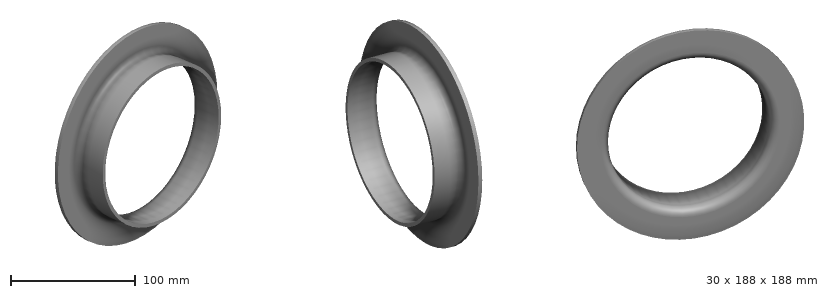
import cadquery as cq
import math

flange_diameter = 188.0
collar_outer_diameter = 139.7
collar_inner_diameter = 133.7
total_length = 30.0
flange_thickness = 3.5
bore_lip_radius = 7.0
collar_root_radius = 5.0

flange_radius = flange_diameter / 2
collar_radius = collar_outer_diameter / 2
bore_radius = collar_inner_diameter / 2


def quarter_arc_midpoint(center_x, center_radius, arc_radius):
    """Middle of a quarter arc on the side facing the flange face and the axis."""
    offset = arc_radius * math.cos(math.radians(45))
    return center_x - offset, center_radius - offset


def lip_arc_midpoint():
    """Convex arc that rolls the flange face into the bore."""
    center_radius = bore_radius + bore_lip_radius
    return quarter_arc_midpoint(bore_lip_radius, center_radius, bore_lip_radius)


def root_arc_midpoint():
    """Concave arc that blends the flange back into the collar."""
    center_x = flange_thickness + collar_root_radius
    center_radius = collar_radius + collar_root_radius
    return quarter_arc_midpoint(center_x, center_radius, collar_root_radius)


def make_wall_section():
    """Half section of the ring: X along the axis, Y as the distance from it."""
    return (
        cq.Workplane("XY")
        .moveTo(0, flange_radius)
        .lineTo(flange_thickness, flange_radius)
        .lineTo(flange_thickness, collar_radius + collar_root_radius)
        .threePointArc(root_arc_midpoint(), (flange_thickness + collar_root_radius, collar_radius))
        .lineTo(total_length, collar_radius)
        .lineTo(total_length, bore_radius)
        .lineTo(bore_lip_radius, bore_radius)
        .threePointArc(lip_arc_midpoint(), (0, bore_radius + bore_lip_radius))
        .close()
    )


result = make_wall_section().revolve(360, (0, 0, 0), (1, 0, 0))